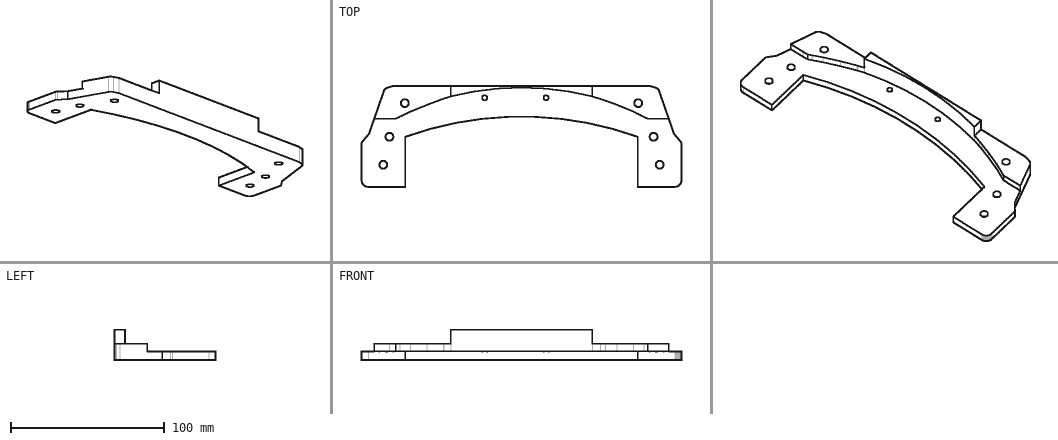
import cadquery as cq
import math

LENGTH = 208.47
DEPTH = 65.91
HEIGHT = 19.78
HALF = LENGTH / 2

PLATE_TOP = 5.75
SHOULDER_TOP = 10.75

LEG_INNER_X = 75.7
INNER_ARC_END_Y = 32.6
INNER_ARC_CROWN_Y = 45.8
LEG_SIDE_TOP_Y = 28.9
WAIST = (99.4, 34.6)
CORNER_ARC_START = (89.7, 62.5)
CORNER_ARC_MIDDLE = (88.9, 63.8)
CORNER_ARC_END = (87.5, 64.7)
BACK_EDGE_END = (83.5, DEPTH)
FOOT_RADIUS = 4.5
FOOT_FACETS = 12
SIDE_RADIUS = 2.0

WALL_HALF = 46.1
WALL_END_Y = 59.0
WALL_CROWN_Y = 64.75

SHOULDER_EDGE_Y = 44.6
LEFT_FACETS = [
    (50.5, 57.6),
    (51.1, 57.4),
    (61.8, 53.4),
    (72.5, 49.0),
    (79.4, 45.7),
    (81.9, SHOULDER_EDGE_Y),
    (86.0, SHOULDER_EDGE_Y - 0.1),
]
RIGHT_FACETS = [
    (51.3, 57.4),
    (54.5, 56.3),
    (62.0, 53.6),
    (72.7, 49.2),
    (79.6, 45.7),
    (82.1, SHOULDER_EDGE_Y),
]

MOUNT_DIAMETER = 4.99
MOUNT_HOLES = [(76.0, 54.6), (86.0, 32.7), (90.0, 14.5)]

PILOT_DIAMETER = 3.3
PILOT_DEPTH = 4.0
PILOT_CENTER_X = -4.0
PILOT_SPACING = 40.0
PILOT_Y = 58.1


def mirrored(point):
    return (-point[0], point[1])


def foot_facet_points():
    """Points along the faceted +X foot corner, from the bottom edge up to the side."""
    center_x = HALF - FOOT_RADIUS
    points = []
    for step in range(FOOT_FACETS + 1):
        angle = math.radians(90 * step / FOOT_FACETS)
        x = center_x + FOOT_RADIUS * math.sin(angle)
        y = FOOT_RADIUS * (1 - math.cos(angle))
        points.append((x, y))
    return points


def make_outline(height):
    """Full horseshoe outline extruded from Z = 0 up to the given height."""
    leg_top = (LEG_INNER_X, INNER_ARC_END_Y)
    leg_foot = (LEG_INNER_X, 0)
    left_foot_corner = (-HALF, 0)
    side_corner = (HALF, LEG_SIDE_TOP_Y)
    body = (
        cq.Workplane("XY")
        .moveTo(*mirrored(leg_top))
        .threePointArc((0, INNER_ARC_CROWN_Y), leg_top)
        .lineTo(*leg_foot)
        .polyline(foot_facet_points(), includeCurrent=True)
        .lineTo(*side_corner)
        .lineTo(*WAIST)
        .lineTo(*CORNER_ARC_START)
        .threePointArc(CORNER_ARC_MIDDLE, CORNER_ARC_END)
        .lineTo(*BACK_EDGE_END)
        .lineTo(*mirrored(BACK_EDGE_END))
        .lineTo(*mirrored(CORNER_ARC_END))
        .threePointArc(mirrored(CORNER_ARC_MIDDLE), mirrored(CORNER_ARC_START))
        .lineTo(*mirrored(WAIST))
        .lineTo(*mirrored(side_corner))
        .lineTo(*left_foot_corner)
        .lineTo(*mirrored(leg_foot))
        .close()
        .extrude(height)
    )
    rounded_corners = [
        (left_foot_corner, FOOT_RADIUS),
        (side_corner, SIDE_RADIUS),
        (mirrored(side_corner), SIDE_RADIUS),
    ]
    for (x, y), radius in rounded_corners:
        nearest = cq.selectors.NearestToPointSelector((x, y, height / 2))
        body = body.edges("|Z").edges(nearest).fillet(radius)
    return body


def make_shoulder(side, facets):
    """Raised step beside the wall; side is +1 for +X and -1 for -X."""
    points = [(WALL_HALF, DEPTH), (WALL_HALF, WALL_END_Y)]
    points += facets
    points += [(HALF, SHOULDER_EDGE_Y), (HALF, DEPTH)]
    region = (
        cq.Workplane("XY")
        .polyline([(side * x, y) for x, y in points])
        .close()
        .extrude(SHOULDER_TOP)
    )
    return make_outline(SHOULDER_TOP).intersect(region)


def make_wall():
    return (
        cq.Workplane("XY")
        .moveTo(-WALL_HALF, DEPTH)
        .lineTo(-WALL_HALF, WALL_END_Y)
        .threePointArc((0, WALL_CROWN_Y), (WALL_HALF, WALL_END_Y))
        .lineTo(WALL_HALF, DEPTH)
        .close()
        .extrude(HEIGHT)
    )


def make_mount_holes():
    centers = MOUNT_HOLES + [mirrored(center) for center in MOUNT_HOLES]
    return cq.Workplane("XY").pushPoints(centers).circle(MOUNT_DIAMETER / 2).extrude(HEIGHT)


def make_pilot_holes():
    centers = [(PILOT_CENTER_X + side * PILOT_SPACING / 2, PILOT_Y) for side in (-1, 1)]
    return (
        cq.Workplane("XY")
        .workplane(offset=PLATE_TOP - PILOT_DEPTH)
        .pushPoints(centers)
        .circle(PILOT_DIAMETER / 2)
        .extrude(PILOT_DEPTH)
    )


result = (
    make_outline(PLATE_TOP)
    .union(make_shoulder(-1, LEFT_FACETS))
    .union(make_shoulder(1, RIGHT_FACETS))
    .union(make_wall())
    .cut(make_mount_holes())
    .cut(make_pilot_holes())
    .clean()
)